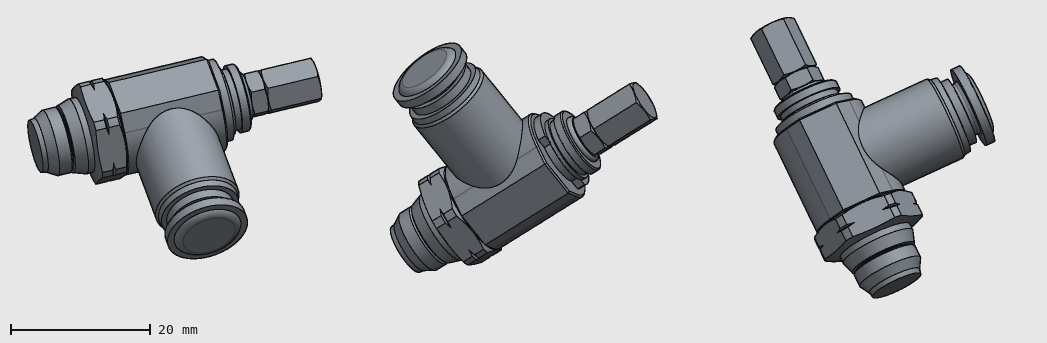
import cadquery as cq
import math


BODY_RADIUS = 7.0
BODY_TOP = 7.5
BODY_BOTTOM = -7.35
BODY_CHAMFER = 0.25
SWIVEL_GAP = 0.2
SWIVEL_RADIUS = 6.4

NUT_ACROSS_FLATS = 14.0
NUT_CORNER_RADIUS = 7.75
NUT_TOP = BODY_BOTTOM - SWIVEL_GAP
NUT_BOTTOM = -12.0
NUT_CORNER_TOP = NUT_TOP - 0.4
NUT_CORNER_BOTTOM = -11.5
NUT_GROOVE_Y = (NUT_CORNER_TOP + NUT_CORNER_BOTTOM) / 2
NUT_GROOVE_DEPTH = 0.4
NUT_GROOVE_HALF_WIDTH = 0.2

COLLAR_RADIUS = 5.55
COLLAR_BOTTOM = -12.95
COLLAR_CONE_RADIUS = 4.95
COLLAR_CONE_BOTTOM = -14.75
RELIEF_RADIUS = 4.15
RELIEF_BOTTOM = -14.95
THREAD_RADIUS = 4.85
THREAD_LEAD_IN = 0.25
THREAD_BOTTOM = -17.05
TIP_CONE_RADIUS = 4.0
TIP_CONE_BOTTOM = -18.5
TIP_RADIUS = 3.85
TIP_BOTTOM = -19.25

NECK_RADIUS = 4.5
FLANGE_RADIUS = 4.95
FLANGE_CHAMFER = 0.2
CLIP_TOP = 8.7
LOWER_FLANGE_TOP = 9.3
UPPER_FLANGE_BOTTOM = 10.3
UPPER_FLANGE_TOP = 11.65
SEAT_RADIUS = 3.7
SEAT_TOP_RADIUS = 3.3
SEAT_BULGE = 0.1
SEAT_TOP = 12.35

CLIP_RADIUS = 6.0
CLIP_OFFSET_Z = 0.5
CLIP_OPENING_Z = -3.0

STEM_ACROSS_FLATS = 6.0
STEM_END_RADIUS = 2.9
STEM_BEVEL_HEIGHT = 0.25
LOCK_NUT_TOP = 14.8
KNOB_TOP = 22.75

BRANCH_RADIUS = 6.25
BRANCH_END = 16.7
SHOULDER_START = 17.1
SHOULDER_START_RADIUS = 5.95
SHOULDER_END_RADIUS = 5.8
SHOULDER_END = 18.05
SLEEVE_RADIUS = 5.0
SLEEVE_END = 19.4
THROAT_RADIUS = 4.0
THROAT_FILLET_WIDTH = 0.45
THROAT_FILLET_RISE = 0.2
RELEASE_RADIUS = 6.0
RELEASE_START = 20.45
RELEASE_END = 21.8
DOME_BASE_RADIUS = 5.0
DOME_TIP_RADIUS = 3.9
DOME_END = 22.5
DOME_BULGE = 0.12


def turned_along_y(profile):
    """Revolve (radius, y) points, listed from top to bottom, about the Y axis."""
    top = profile[0][1]
    bottom = profile[-1][1]
    points = [(0, top)] + profile + [(0, bottom)]
    return cq.Workplane("XY").polyline(points).close().revolve(360, (0, 0), (0, 1))


def hexagon_along_y(across_flats, bottom, top):
    """Hexagonal prism along Y with corners on the X axis and flats facing Z."""
    across_corners = across_flats / math.cos(math.pi / 6)
    prism = cq.Workplane("XZ").polygon(6, across_corners).extrude(top - bottom)
    return prism.translate((0, top, 0))


def make_body():
    flat_end = BODY_RADIUS * math.tan(math.pi / 8)
    tangent = BODY_RADIUS * math.cos(math.pi / 4)
    outline = (
        cq.Workplane("XZ")
        .moveTo(-tangent, tangent)
        .lineTo(-flat_end, BODY_RADIUS)
        .lineTo(flat_end, BODY_RADIUS)
        .lineTo(tangent, tangent)
        .threePointArc((BODY_RADIUS, 0), (tangent, -tangent))
        .lineTo(flat_end, -BODY_RADIUS)
        .lineTo(-flat_end, -BODY_RADIUS)
        .lineTo(-tangent, -tangent)
        .threePointArc((-BODY_RADIUS, 0), (-tangent, tangent))
        .close()
    )
    body = outline.extrude(BODY_TOP - BODY_BOTTOM).translate((0, BODY_TOP, 0))
    body = body.faces(">Y").chamfer(BODY_CHAMFER)
    swivel = turned_along_y([(SWIVEL_RADIUS, BODY_BOTTOM), (SWIVEL_RADIUS, NUT_TOP)])
    return body.union(swivel)


def make_nut():
    groove_root = NUT_CORNER_RADIUS - NUT_GROOVE_DEPTH
    envelope = turned_along_y([
        (NUT_ACROSS_FLATS / 2, NUT_TOP),
        (NUT_CORNER_RADIUS, NUT_CORNER_TOP),
        (NUT_CORNER_RADIUS, NUT_GROOVE_Y + NUT_GROOVE_HALF_WIDTH),
        (groove_root, NUT_GROOVE_Y),
        (NUT_CORNER_RADIUS, NUT_GROOVE_Y - NUT_GROOVE_HALF_WIDTH),
        (NUT_CORNER_RADIUS, NUT_CORNER_BOTTOM),
        (COLLAR_RADIUS, NUT_BOTTOM),
    ])
    return hexagon_along_y(NUT_ACROSS_FLATS, NUT_BOTTOM, NUT_TOP).intersect(envelope)


def make_threaded_end():
    return turned_along_y([
        (COLLAR_RADIUS, NUT_BOTTOM),
        (COLLAR_RADIUS, COLLAR_BOTTOM),
        (COLLAR_CONE_RADIUS, COLLAR_CONE_BOTTOM),
        (RELIEF_RADIUS, COLLAR_CONE_BOTTOM),
        (RELIEF_RADIUS, RELIEF_BOTTOM),
        (THREAD_RADIUS - THREAD_LEAD_IN, RELIEF_BOTTOM),
        (THREAD_RADIUS, RELIEF_BOTTOM - THREAD_LEAD_IN),
        (THREAD_RADIUS, THREAD_BOTTOM),
        (TIP_CONE_RADIUS, TIP_CONE_BOTTOM),
        (TIP_RADIUS, TIP_BOTTOM),
    ])


def make_head():
    return turned_along_y([
        (FLANGE_RADIUS - FLANGE_CHAMFER, UPPER_FLANGE_TOP),
        (FLANGE_RADIUS, UPPER_FLANGE_TOP - FLANGE_CHAMFER),
        (FLANGE_RADIUS, UPPER_FLANGE_BOTTOM),
        (NECK_RADIUS, UPPER_FLANGE_BOTTOM),
        (NECK_RADIUS, LOWER_FLANGE_TOP),
        (FLANGE_RADIUS, LOWER_FLANGE_TOP),
        (FLANGE_RADIUS, CLIP_TOP),
        (NECK_RADIUS, CLIP_TOP),
        (NECK_RADIUS, BODY_TOP),
    ])


def make_seat():
    """Seat under the lock nut, with a rounded side."""
    side_middle = (
        (SEAT_RADIUS + SEAT_TOP_RADIUS) / 2 + SEAT_BULGE,
        (UPPER_FLANGE_TOP + SEAT_TOP) / 2 + SEAT_BULGE,
    )
    profile = (
        cq.Workplane("XY")
        .moveTo(0, UPPER_FLANGE_TOP)
        .lineTo(SEAT_RADIUS, UPPER_FLANGE_TOP)
        .threePointArc(side_middle, (SEAT_TOP_RADIUS, SEAT_TOP))
        .lineTo(0, SEAT_TOP)
        .close()
    )
    return profile.revolve(360, (0, 0), (0, 1))


def make_clip():
    thickness = CLIP_TOP - BODY_TOP
    disc = cq.Workplane("XZ").center(0, CLIP_OFFSET_Z).circle(CLIP_RADIUS).extrude(thickness)
    opening = (
        cq.Workplane("XZ", origin=(0, 0, CLIP_OPENING_Z))
        .rect(2 * CLIP_RADIUS, 2 * CLIP_RADIUS)
        .extrude(thickness)
        .translate((0, 0, -CLIP_RADIUS))
    )
    return disc.cut(opening).translate((0, CLIP_TOP, 0))


def make_stem_hexagon(bottom, top):
    """Stem hexagon whose corners are bevelled at both ends."""
    corner_radius = STEM_ACROSS_FLATS / math.sqrt(3)
    envelope = turned_along_y([
        (STEM_END_RADIUS, top),
        (corner_radius, top - STEM_BEVEL_HEIGHT),
        (corner_radius, bottom + STEM_BEVEL_HEIGHT),
        (STEM_END_RADIUS, bottom),
    ])
    return hexagon_along_y(STEM_ACROSS_FLATS, bottom, top).intersect(envelope)


def make_branch():
    dome_middle = (
        (RELEASE_END + DOME_END) / 2 + DOME_BULGE,
        (DOME_BASE_RADIUS + DOME_TIP_RADIUS) / 2 + DOME_BULGE,
    )
    fillet_start = RELEASE_START - THROAT_FILLET_WIDTH
    profile = (
        cq.Workplane("XY")
        .lineTo(0, BRANCH_RADIUS)
        .lineTo(BRANCH_END, BRANCH_RADIUS)
        .lineTo(SHOULDER_START, SHOULDER_START_RADIUS)
        .lineTo(SHOULDER_END, SHOULDER_END_RADIUS)
        .lineTo(SHOULDER_END, SLEEVE_RADIUS)
        .lineTo(SLEEVE_END, SLEEVE_RADIUS)
        .lineTo(SLEEVE_END, THROAT_RADIUS)
        .lineTo(fillet_start, THROAT_RADIUS)
        .tangentArcPoint((RELEASE_START, THROAT_RADIUS + THROAT_FILLET_RISE), relative=False)
        .lineTo(RELEASE_START, RELEASE_RADIUS)
        .lineTo(RELEASE_END, RELEASE_RADIUS)
        .lineTo(RELEASE_END, DOME_BASE_RADIUS)
        .threePointArc(dome_middle, (DOME_END, DOME_TIP_RADIUS))
        .lineTo(DOME_END, 0)
        .close()
    )
    return profile.revolve(360, (0, 0), (1, 0))


result = (
    make_body()
    .union(make_branch())
    .union(make_nut())
    .union(make_threaded_end())
    .union(make_head())
    .union(make_seat())
    .union(make_clip())
    .union(make_stem_hexagon(SEAT_TOP, LOCK_NUT_TOP))
    .union(make_stem_hexagon(LOCK_NUT_TOP, KNOB_TOP))
)